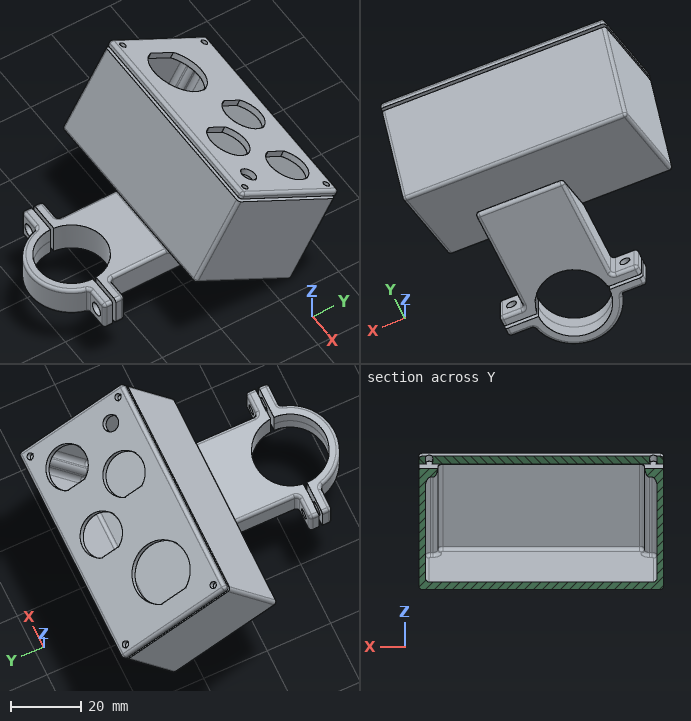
import cadquery as cq
import math


edge_radius = 1.0
wall = 2.0

tilt = 30.0
box_length = 70.0
box_width = 38.0
box_height = 30.05
lid_gap = 1.0
lid_thickness = 2.0
box_offset_x = -6.5
post_size = 5.5
post_radius = 1.5
screw_inset = 3.0
screw_diameter = 2.0

large_diameter = 18.65
large_flat = 8.2
large_place = (-19.8, -3.6)
medium_diameter = 13.6
medium_flat = 6.05
medium_spacing = 11.5
upper_row = 7.4
lower_row = -7.1
small_diameter = 5.0
small_place = (26.6, -10.45)

clamp_height = 10.0
bore_diameter = 22.1
arm_width = 27.5
ear_span = 43.2
ear_thickness = 3.0
split_gap = 1.0
bolt_spacing = 35.4
bolt_clearance = 4.2
bolt_pilot = 3.0

hinge_y = 23.2
hinge_rise = 0.3

bore_radius = bore_diameter / 2
cap_radius = bore_radius + ear_thickness
hinge_z = clamp_height / 2 + hinge_rise
lid_base = box_height + lid_gap
post_offset_x = box_length / 2 - post_size / 2
post_offset_y = box_width / 2 - post_size / 2
medium_places = [
    (0, upper_row),
    (medium_spacing, lower_row),
    (2 * medium_spacing, upper_row),
]
screw_places = [
    (side * (box_length / 2 - screw_inset), end * (box_width / 2 - screw_inset))
    for side in (-1, 1)
    for end in (-1, 1)
]


def tilt_into_place(body):
    """Move a body from flat, centred on the origin, to its tilted place behind the clamp."""
    return (
        body.translate((0, box_width / 2, 0))
        .rotate((0, 0, 0), (1, 0, 0), -tilt)
        .translate((box_offset_x, hinge_y, hinge_z))
    )


def make_box():
    """Open box with rounded edges and a screw post in each inner corner."""
    outside = (
        cq.Workplane("XY")
        .box(box_length, box_width, box_height, centered=(True, True, False))
        .edges("|Z or <Z")
        .fillet(edge_radius)
    )
    posts = (
        cq.Workplane("XY")
        .workplane(offset=wall)
        .rect(2 * post_offset_x, 2 * post_offset_y, forConstruction=True)
        .vertices()
        .rect(post_size, post_size)
        .extrude(box_height)
    )
    cavity = (
        cq.Workplane("XY")
        .workplane(offset=wall)
        .rect(box_length - 2 * wall, box_width - 2 * wall)
        .extrude(box_height)
        .cut(posts)
        .edges("|Z")
        .fillet(post_radius)
        .faces("<Z")
        .edges()
        .fillet(edge_radius)
    )
    return tilt_into_place(outside.cut(cavity))


def flatted_hole(place, diameter, flat):
    """Cutter for a round opening with a flat on its -X side, at distance flat from its centre."""
    x, y = place
    cutter = cq.Workplane("XY").circle(diameter / 2).extrude(lid_thickness)
    kept_side = cq.Workplane("XY").box(
        diameter, diameter, lid_thickness, centered=(False, True, False)
    )
    return cutter.intersect(kept_side.translate((-flat, 0, 0))).translate((x, y, 0))


def make_lid():
    """Flat lid with instrument openings and four screw holes, held just above the box."""
    lid = (
        cq.Workplane("XY")
        .box(box_length, box_width, lid_thickness, centered=(True, True, False))
        .edges("|Z or >Z")
        .fillet(edge_radius)
        .cut(flatted_hole(large_place, large_diameter, large_flat))
    )
    for place in medium_places:
        lid = lid.cut(flatted_hole(place, medium_diameter, medium_flat))
    small_hole = (
        cq.Workplane("XY").center(*small_place).circle(small_diameter / 2).extrude(lid_thickness)
    )
    screw_holes = (
        cq.Workplane("XY").pushPoints(screw_places).circle(screw_diameter / 2).extrude(lid_thickness)
    )
    lid = lid.cut(small_hole).cut(screw_holes)
    return tilt_into_place(lid.translate((0, 0, lid_base)))


def clamp_block(width, y_start, y_end):
    """Block of the clamp's height, centred in X and Z."""
    block = cq.Workplane("XY").box(width, y_end - y_start, clamp_height, centered=(True, False, True))
    return block.translate((0, y_start, 0))


def clamp_cylinder(radius):
    """Cylinder of the clamp's height around the bore axis."""
    return cq.Workplane("XY").circle(radius).extrude(clamp_height / 2, both=True)


def bolt_holes(diameter):
    """Cutter for the bolt holes through both ears."""
    return (
        cq.Workplane("XZ")
        .pushPoints([(-bolt_spacing / 2, 0), (bolt_spacing / 2, 0)])
        .circle(diameter / 2)
        .extrude(cap_radius, both=True)
    )


def fill_ear_corners(body):
    """Round the upright inner corners between the ears and the middle of the clamp."""
    return body.edges("|Z and (not (<X or >X))").fillet(edge_radius)


def round_outside(body, faces):
    """Round the edges of the chosen faces and the upright edges at the ear ends."""
    ear_ends = body.edges("|Z and (<X or >X)")
    return body.faces(faces).edges().add(ear_ends).fillet(edge_radius)


def make_bracket():
    """Arm under the box, with two ears and half of the bore at its front end."""
    slope = math.tan(math.radians(tilt))
    slope_run = clamp_height / slope
    top_end = hinge_y + hinge_rise / slope
    arm = (
        cq.Workplane("YZ")
        .moveTo(0, -clamp_height / 2)
        .lineTo(top_end + slope_run, -clamp_height / 2)
        .lineTo(top_end, clamp_height / 2)
        .lineTo(0, clamp_height / 2)
        .close()
        .extrude(arm_width / 2, both=True)
    )
    ear_back = split_gap + ear_thickness
    body = fill_ear_corners(arm.union(clamp_block(ear_span, -ear_back, ear_back)))
    body = round_outside(body, "<Z or >Z or >Y")
    body = body.cut(clamp_block(ear_span, -ear_back, split_gap))
    return body.cut(clamp_cylinder(bore_radius)).cut(bolt_holes(bolt_pilot))


def make_cap():
    """Half-round clamp cap with two ears, trimmed from a full ring to leave its split face sharp."""
    ears = clamp_block(ear_span, -ear_thickness, ear_thickness)
    body = fill_ear_corners(clamp_cylinder(cap_radius).union(ears))
    body = round_outside(body, "<Z or >Z")
    body = body.cut(clamp_block(ear_span, 0, cap_radius))
    return body.cut(clamp_cylinder(bore_radius)).cut(bolt_holes(bolt_clearance))


box = make_box()
lid = make_lid()
bracket = make_bracket()
cap = make_cap()

result = cq.Compound.makeCompound([box.val(), lid.val(), bracket.val(), cap.val()])